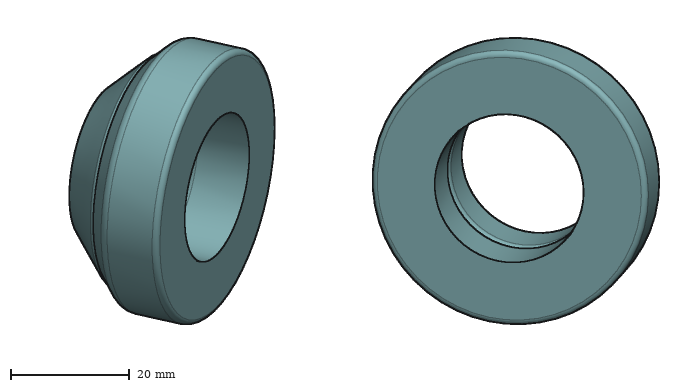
import cadquery as cq
import math

overall_length = 21.25
rim_radius = 23.75
bore_radius = 12.82
joint_x = 7.85
groove_x = 10.2
groove_half_width = 1.4
cone_ring_radius = 20.5
edge_round = 1.0
nose_round = 0.4
bore_edge_round = 1.8
shoulder_round = 2.0

cone_angle = math.radians(45)
cone_normal = (-math.sin(cone_angle), math.cos(cone_angle))
cone_to_rim = (-math.sin(cone_angle / 2), math.cos(cone_angle / 2))
rear_outward = (math.sqrt(0.5), math.sqrt(0.5))

groove_sweep = math.asin(groove_half_width / bore_edge_round)
groove_radius = bore_radius + bore_edge_round * (1 - math.cos(groove_sweep))
groove_arc_to_rear = (math.sin(groove_sweep / 2), -math.cos(groove_sweep / 2))
groove_arc_to_front = (-groove_arc_to_rear[0], groove_arc_to_rear[1])


def on_circle(center, radius, direction):
    """Point of a circle in the given unit direction from its center."""
    return (center[0] + radius * direction[0], center[1] + radius * direction[1])


def revolve_ring(profile):
    """Turn an open (x, radius) profile, once closed, about the X axis."""
    return profile.close().revolve(360, (0, 0, 0), (1, 0, 0))


def make_cone_ring():
    """Front ring: conical outside, plain bore, shallow conical rear face at the joint."""
    nose_center = (nose_round, bore_radius + nose_round)
    wide_center = (joint_x, cone_ring_radius - edge_round)
    bore_edge_center = (groove_x - groove_half_width, bore_radius + bore_edge_round)
    return revolve_ring(
        cq.Workplane("XY")
        .moveTo(nose_center[0], bore_radius)
        .threePointArc((0, nose_center[1]), on_circle(nose_center, nose_round, cone_normal))
        .lineTo(*on_circle(wide_center, edge_round, cone_normal))
        .threePointArc(on_circle(wide_center, edge_round, cone_to_rim), (joint_x, cone_ring_radius))
        .lineTo(groove_x, groove_radius)
        .threePointArc(
            on_circle(bore_edge_center, bore_edge_round, groove_arc_to_rear),
            (bore_edge_center[0], bore_radius),
        )
    )


def make_rim_ring():
    """Rear ring: dished front face at the joint, conical shoulder and cylindrical rim."""
    shoulder_center_radius = rim_radius - shoulder_round
    shoulder_tangent_radius = shoulder_center_radius + shoulder_round * cone_normal[1]
    cone_end_x = joint_x + (shoulder_tangent_radius - cone_ring_radius) / math.tan(cone_angle)
    shoulder_center = (cone_end_x - shoulder_round * cone_normal[0], shoulder_center_radius)
    rear_center = (overall_length - edge_round, rim_radius - edge_round)
    bore_edge_center = (groove_x + groove_half_width, bore_radius + bore_edge_round)
    return revolve_ring(
        cq.Workplane("XY")
        .moveTo(groove_x, groove_radius)
        .lineTo(joint_x, cone_ring_radius)
        .lineTo(cone_end_x, shoulder_tangent_radius)
        .threePointArc(
            on_circle(shoulder_center, shoulder_round, cone_to_rim),
            (shoulder_center[0], rim_radius),
        )
        .lineTo(rear_center[0], rim_radius)
        .threePointArc(
            on_circle(rear_center, edge_round, rear_outward),
            (overall_length, rear_center[1]),
        )
        .lineTo(overall_length, bore_radius)
        .lineTo(bore_edge_center[0], bore_radius)
        .threePointArc(
            on_circle(bore_edge_center, bore_edge_round, groove_arc_to_front),
            (groove_x, groove_radius),
        )
    )


cone_ring = make_cone_ring()
rim_ring = make_rim_ring()

result = cq.Compound.makeCompound([cone_ring.val(), rim_ring.val()])